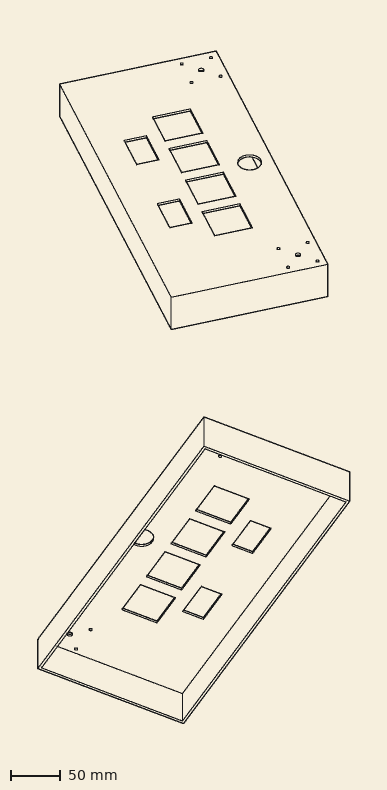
import cadquery as cq

length = 356.0
width = 166.0
height = 42.0
wall = 3.0

window_pitch = 52.7
square_side = 40.0
square_row_y = 9.3
slot_length = square_side
slot_width = 23.5
slot_row_y = -37.7
slot_pitch = 2 * window_pitch

back_inset = 24.0
hole_row_y = width / 2 - back_inset
access_diameter = 24.0
mount_diameter = 5.5
mount_x = length / 2 - back_inset
screw_diameter = 3.0
screw_pitch = 31.0


def open_box():
    """Thin-walled box with its bottom face removed."""
    return cq.Workplane("XY").box(length, width, height).faces("<Z").shell(-wall)


def top_plane(x, y):
    """Workplane on the top face, centred at (x, y)."""
    return cq.Workplane("XY", origin=(x, y, height / 2))


def window_row(count, pitch, row_y, size_x, size_y):
    """Row of rectangular cutters through the top wall."""
    return top_plane(0, row_y).rarray(pitch, 3.5, count, 1).rect(size_x, size_y).extrude(-wall)


def mounting_holes(x):
    """Central hole with four screw holes around it."""
    plane = top_plane(x, hole_row_y)
    center_hole = plane.circle(mount_diameter / 2).extrude(-wall)
    screw_holes = (
        plane.rarray(screw_pitch, screw_pitch, 2, 2).circle(screw_diameter / 2).extrude(-wall)
    )
    return center_hole.union(screw_holes)


result = open_box()
result = result.cut(window_row(4, window_pitch, square_row_y, square_side, square_side))
result = result.cut(window_row(2, slot_pitch, slot_row_y, slot_length, slot_width))
result = result.cut(top_plane(0, hole_row_y).circle(access_diameter / 2).extrude(-wall))
for side in (-1, 1):
    result = result.cut(mounting_holes(side * mount_x))